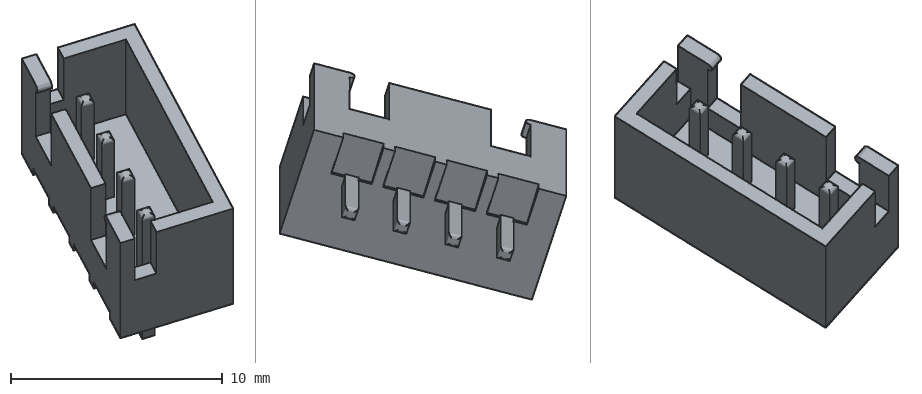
import cadquery as cq

length = 12.42
depth = 5.75
housing_height = 6.88
wall = 0.75
floor_thickness = 1.48

side_slot_width = 1.09
side_slot_depth = 2.99

window_inset = 1.75
window_width = 1.95
window_depth = 3.75
bead_radius = 0.25

overall_height = 10.09
pin_count = 4
pin_row_length = 7.64
pin_pitch = pin_row_length / (pin_count - 1)
first_pin_x = 2.43
pin_y = 2.25
pin_width = 0.65
pin_top = 5.66
pin_bottom = housing_height - overall_height
pin_tip_radius = 0.2

relief_width = 1.99
relief_depth = 2.0
relief_front_height = 0.46
relief_back_height = 0.17


def box(x, y, z, size_x, size_y, size_z):
    """Box placed by its lowest corner."""
    return cq.Workplane("XY", origin=(x, y, z)).box(size_x, size_y, size_z, centered=False)


def make_shell():
    """Open-topped housing with a slot through each side wall."""
    block = box(0, 0, 0, length, depth, housing_height)
    cavity_length = length - 2 * wall
    cavity_width = depth - 2 * wall
    cavity_height = housing_height - floor_thickness
    cavity = box(wall, wall, floor_thickness, cavity_length, cavity_width, cavity_height)
    slot_bottom = housing_height - side_slot_depth
    side_slots = box(0, wall, slot_bottom, length, side_slot_width, side_slot_depth)
    return block.cut(cavity).cut(side_slots)


def make_window(left_x, bead_x):
    """Front wall opening, less the half-round bead left standing on its edge at bead_x."""
    window_bottom = housing_height - window_depth
    opening = box(left_x, 0, window_bottom, window_width, wall, window_depth)
    bead_center = (bead_x, 0, housing_height - bead_radius)
    bead = cq.Workplane("XZ", origin=bead_center).circle(bead_radius).extrude(-wall)
    return opening.cut(bead)


def make_relief(pin_x):
    """Pocket open to the front and below; its ceiling slopes down to an upright back wall."""
    return (
        cq.Workplane("YZ", origin=(pin_x - relief_width / 2, 0, 0))
        .moveTo(0, 0)
        .lineTo(0, relief_front_height)
        .lineTo(relief_depth, relief_back_height)
        .lineTo(relief_depth, 0)
        .close()
        .extrude(relief_width)
    )


def make_pin(pin_x):
    """Square pin with rounded edges at both tips."""
    left_x = pin_x - pin_width / 2
    front_y = pin_y - pin_width / 2
    blank = box(left_x, front_y, pin_bottom, pin_width, pin_width, pin_top - pin_bottom)
    return blank.faces("<Z or >Z").edges().fillet(pin_tip_radius)


result = make_shell()

right_window_edge = length - window_inset
result = result.cut(make_window(window_inset, window_inset))
result = result.cut(make_window(right_window_edge - window_width, right_window_edge))

pin_positions = [first_pin_x + i * pin_pitch for i in range(pin_count)]
for x in pin_positions:
    result = result.cut(make_relief(x))
for x in pin_positions:
    result = result.union(make_pin(x))